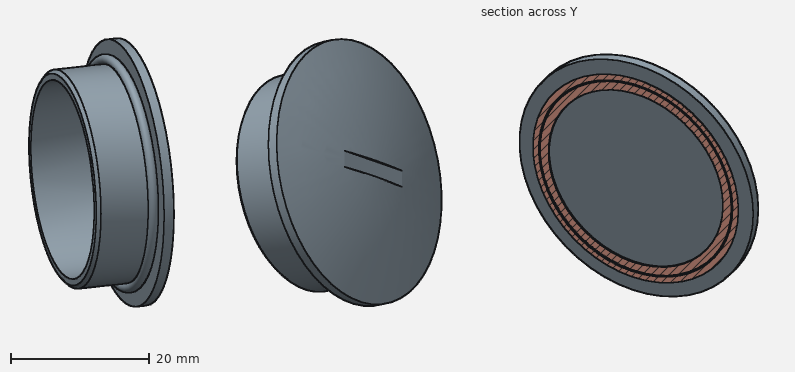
import cadquery as cq

flange_radius = 19.5
flange_thickness = 1.52
dome_height = 2.92
total_depth = 13.45
plug_radius = 16.0
bore_radius = 14.5
rim_chamfer = 0.55
ring_tube_radius = 0.75
ring_outer_radius = 17.4
ring_seat_depth = 0.05
slot_width = 2.4
slot_depth = 0.35

flange_back = total_depth - dome_height
flange_front = flange_back - flange_thickness
ring_center_radius = ring_outer_radius - ring_tube_radius
ring_center = flange_front - ring_tube_radius + ring_seat_depth
dome_radius = (flange_radius**2 + dome_height**2) / (2 * dome_height)
dome_center = total_depth - dome_radius
dome_mid_radius = flange_radius / 2
dome_mid = dome_center + (dome_radius**2 - dome_mid_radius**2) ** 0.5


def make_cap():
    """Domed flange with a hollow plug, revolved about Y."""
    profile = (
        cq.Workplane("XY")
        .moveTo(0, flange_front)
        .lineTo(bore_radius, flange_front)
        .lineTo(bore_radius, 0)
        .lineTo(plug_radius - rim_chamfer, 0)
        .lineTo(plug_radius, rim_chamfer)
        .lineTo(plug_radius, flange_front)
        .lineTo(flange_radius, flange_front)
        .lineTo(flange_radius, flange_back)
        .threePointArc((dome_mid_radius, dome_mid), (0, total_depth))
        .close()
    )
    return profile.revolve(360, (0, 0, 0), (0, 1, 0))


def make_ring():
    """Round sealing ring around the plug, sunk slightly into the plug and the flange."""
    section = cq.Workplane("XY").center(ring_center_radius, ring_center).circle(ring_tube_radius)
    return section.revolve(360, (-ring_center_radius, 0, 0), (-ring_center_radius, 1, 0))


def make_slot():
    """Shallow straight slot along X across the crown of the dome."""
    slot = cq.Workplane("XY").box(2 * flange_radius, slot_depth, slot_width, centered=(True, False, True))
    return slot.translate((0, total_depth - slot_depth, 0))


result = make_cap().union(make_ring()).cut(make_slot())